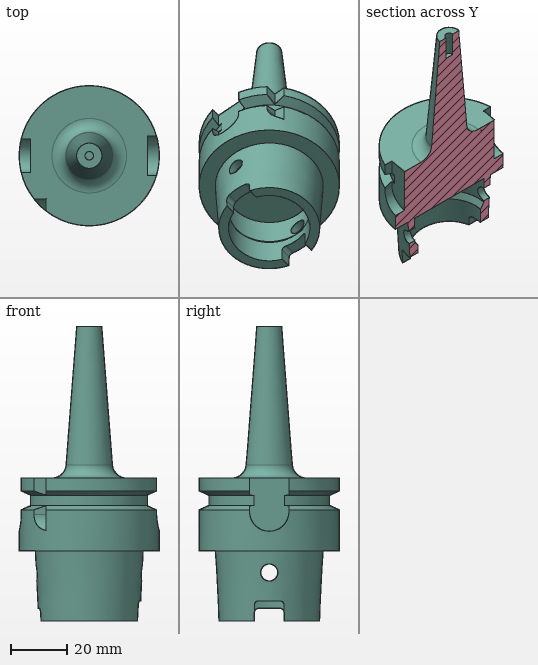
import cadquery as cq
import math


nose_top_z = 80.0
nose_top_radius = 4.5
nose_half_angle = math.radians(4.4)
nose_fillet_radius = 5.0
tool_bore_diameter = 3.0
tool_bore_depth = 10.0

flange_radius = 25.0
flange_height = 26.0
groove_center_z = 18.0
groove_floor_radius = 21.5
groove_floor_width = 3.5
groove_mouth_width = 6.7

shank_length = 25.0
shank_top_radius = 19.25
shank_taper = 1 / 20
shank_mouth_radius = 14.5
clamp_recess_radius = 16.0
clamp_shoulder_z = -14.0
clamp_shoulder_angle = math.radians(30)
cross_hole_diameter = 6.0
cross_hole_z = -7.7

rim_slot_bottom_z = 7.0
left_slot_width = 12.0
left_slot_floor = 21.0
right_slot_width = 14.0
right_slot_floor = 20.8
corner_notch_width = 12.0
corner_notch_inset = 15.4

drive_slot_width = 10.54
drive_slot_corner_radius = 1.5
left_drive_slot_depth = 4.5
right_drive_slot_depth = 7.2


def revolved_body():
    """Turned outline of shank, grooved flange and nose."""
    shank_end_radius = shank_top_radius - shank_length * shank_taper
    groove_mouth_low = groove_center_z - groove_mouth_width / 2
    groove_mouth_high = groove_center_z + groove_mouth_width / 2
    groove_floor_low = groove_center_z - groove_floor_width / 2
    groove_floor_high = groove_center_z + groove_floor_width / 2

    fillet_center_z = flange_height + nose_fillet_radius
    cone_radius_there = nose_top_radius + (nose_top_z - fillet_center_z) * math.tan(nose_half_angle)
    fillet_center_radius = cone_radius_there + nose_fillet_radius / math.cos(nose_half_angle)

    def fillet_point(angle):
        """Point of the fillet at an angle below the horizontal through its center."""
        return (
            fillet_center_radius - nose_fillet_radius * math.cos(angle),
            fillet_center_z - nose_fillet_radius * math.sin(angle),
        )

    fillet_mid_angle = (nose_half_angle + math.pi / 2) / 2

    return (
        cq.Workplane("XZ")
        .moveTo(0, -shank_length)
        .lineTo(shank_end_radius, -shank_length)
        .lineTo(shank_top_radius, 0)
        .lineTo(flange_radius, 0)
        .lineTo(flange_radius, groove_mouth_low)
        .lineTo(groove_floor_radius, groove_floor_low)
        .lineTo(groove_floor_radius, groove_floor_high)
        .lineTo(flange_radius, groove_mouth_high)
        .lineTo(flange_radius, flange_height)
        .lineTo(fillet_center_radius, flange_height)
        .threePointArc(fillet_point(fillet_mid_angle), fillet_point(nose_half_angle))
        .lineTo(nose_top_radius, nose_top_z)
        .lineTo(0, nose_top_z)
        .close()
        .revolve(360, (0, 0, 0), (0, 1, 0))
    )


def tool_bore():
    """Blind bore in the tip of the nose."""
    return (
        cq.Workplane("XY", origin=(0, 0, nose_top_z - tool_bore_depth))
        .circle(tool_bore_diameter / 2)
        .extrude(tool_bore_depth)
    )


def shank_cavity():
    """Cavity of the shank: open mouth, conical clamping shoulder and wider recess."""
    shoulder_step = clamp_recess_radius - shank_mouth_radius
    recess_start_z = clamp_shoulder_z + shoulder_step / math.tan(clamp_shoulder_angle)
    return (
        cq.Workplane("XZ")
        .moveTo(0, -shank_length)
        .lineTo(shank_mouth_radius, -shank_length)
        .lineTo(shank_mouth_radius, clamp_shoulder_z)
        .lineTo(clamp_recess_radius, recess_start_z)
        .lineTo(clamp_recess_radius, 0)
        .lineTo(0, 0)
        .close()
        .revolve(360, (0, 0, 0), (0, 1, 0))
    )


def cross_hole():
    """Hole along X through both walls of the shank."""
    return (
        cq.Workplane("YZ", origin=(0, 0, cross_hole_z))
        .circle(cross_hole_diameter / 2)
        .extrude(shank_top_radius, both=True)
    )


def rim_slot(side, floor_distance, width, center_y=0.0):
    """Slot cutter open to the top and to the rim; side is -1 for -X and +1 for +X."""
    half_width = width / 2
    arc_center_z = rim_slot_bottom_z + half_width
    return (
        cq.Workplane("YZ", origin=(side * floor_distance, center_y, 0))
        .moveTo(-half_width, flange_height)
        .lineTo(-half_width, arc_center_z)
        .threePointArc((0, rim_slot_bottom_z), (half_width, arc_center_z))
        .lineTo(half_width, flange_height)
        .close()
        .extrude(side * (flange_radius - floor_distance))
    )


def drive_slot(side, depth):
    """Slot cutter from the axis outward in the open end of the shank."""
    return (
        cq.Workplane("XY", origin=(side * shank_top_radius / 2, 0, -shank_length))
        .box(shank_top_radius, drive_slot_width, depth, centered=(True, True, False))
        .edges("|X and >Z")
        .fillet(drive_slot_corner_radius)
    )


corner_notch_y = -(corner_notch_inset + corner_notch_width / 2)

result = (
    revolved_body()
    .cut(tool_bore())
    .cut(shank_cavity())
    .cut(cross_hole())
    .cut(rim_slot(-1, left_slot_floor, left_slot_width))
    .cut(rim_slot(1, right_slot_floor, right_slot_width))
    .cut(rim_slot(-1, corner_notch_inset, corner_notch_width, corner_notch_y))
    .cut(drive_slot(-1, left_drive_slot_depth))
    .cut(drive_slot(1, right_drive_slot_depth))
)